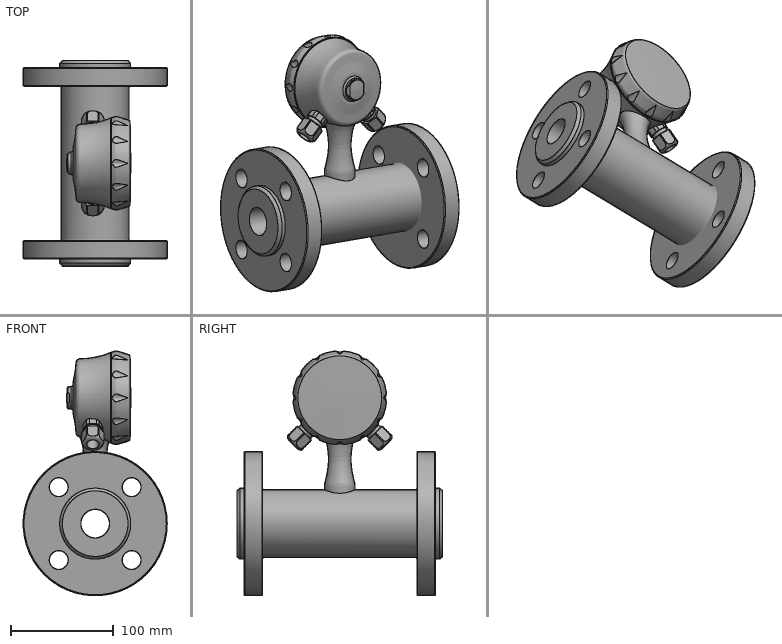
import cadquery as cq
import math

flange_dia = 140.0
flange_thickness = 18.3
flange_edge_chamfer = 1.0
overall_length = 200.0
raised_face_dia = 69.0
raised_face_height = 7.0
raised_face_bevel_radial = 2.5
raised_face_bevel_axial = 3.0
pipe_dia = 66.0
pipe_end_fillet = 0.7
bore_dia = 27.5
bolt_circle_dia = 100.0
bolt_hole_dia = 18.0
bolt_count = 4

neck_foot_dia = 30.0
neck_foot_top = 36.4
neck_shoulder_dia = 29.2
neck_shoulder_top = 39.2
neck_taper_dia = 26.9
neck_taper_top = 44.0
neck_waist_dia = 22.0
neck_waist_bottom = 60.0
neck_waist_top = 64.5
neck_collar_dia = 23.5
neck_collar_top = 72.0
neck_top_dia = 32.3
neck_top = 86.5

head_height = 122.2
cap_radius = 45.7
cap_back_dia = 81.3
cap_seam_x = 15.7
cap_seam_radius = 44.2
cap_crest_start_x = 18.5
cap_crest_start_radius = 45.2
cap_crest_x = 20.2
cap_crest_end_x = 21.9
cap_crest_end_radius = 45.5
cap_taper_end_x = 31.6
cap_taper_end_radius = 42.3
cap_back_x = 34.0
cap_crown_x = 34.7
seam_width = 0.7
seam_depth = 0.5
shell_front_x = -18.8
shell_radius = 38.0
shell_back_radius = 44.0
shell_edge_fillet = 4.5
front_cone_x = -19.5
front_cone_radius = 26.0

notch_count = 12
notch_tip_x = 31.5
notch_tip_radius = 42.3
notch_half_angle = 27
notch_tilt = 36
notch_length = 19.0

plug_dia = 21.6
plug_front_x = -27.0
plug_chamfer = 1.0
plug_tip_x = -28.0
plug_skirt_x = -23.3
plug_skirt_radius = 12.5
plug_base_x = -21.5
plug_base_radius = 16.0
plug_flat_front = 8.5
plug_flat_back = 10.5
plug_flat_back_x = -24.7

gland_x = -2.25
gland_angle = 45
gland_root = 31.0
gland_base_flats = 18.0
gland_base_dia = 19.3
gland_base_end = 44.5
gland_collar_dia = 16.0
gland_collar_end = 48.5
gland_nut_flats = 19.5
gland_nut_dia = 21.9
gland_nut_end = 64.0
gland_nut_fillet = 4.8
gland_hole_dia = 12.0
gland_hole_depth = 12.0


def make_flow_tube():
    """Pipe with a raised-face flange, turned about Y, at each end."""
    half_length = overall_length / 2
    flange_outer = half_length - raised_face_height
    flange_inner = flange_outer - flange_thickness
    pipe_radius = pipe_dia / 2
    flange_radius = flange_dia / 2
    face_radius = raised_face_dia / 2
    chamfer = flange_edge_chamfer
    pipe = cq.Workplane("XZ").circle(pipe_radius).extrude(flange_outer, both=True)
    flange = (
        cq.Workplane("XY")
        .moveTo(0, flange_inner - pipe_end_fillet)
        .lineTo(pipe_radius, flange_inner - pipe_end_fillet)
        .radiusArc((pipe_radius + pipe_end_fillet, flange_inner), pipe_end_fillet)
        .lineTo(flange_radius - chamfer, flange_inner)
        .lineTo(flange_radius, flange_inner + chamfer)
        .lineTo(flange_radius, flange_outer - chamfer)
        .lineTo(flange_radius - chamfer, flange_outer)
        .lineTo(face_radius, flange_outer)
        .lineTo(face_radius, half_length - raised_face_bevel_axial)
        .lineTo(face_radius - raised_face_bevel_radial, half_length)
        .lineTo(0, half_length)
        .close()
        .revolve(360, (0, 0, 0), (0, 1, 0))
    )
    return pipe.union(flange).union(flange.mirror("XZ"))


def cut_flow_holes(body):
    """Cut the bore and the bolt holes; the bolt holes stop at the inner flange faces."""
    end_plane = cq.Workplane("XZ", origin=(0, overall_length / 2, 0))
    bore = end_plane.circle(bore_dia / 2).extrude(overall_length)
    bolt_holes = (
        end_plane.polarArray(bolt_circle_dia / 2, 360 / bolt_count / 2, 360, bolt_count)
        .circle(bolt_hole_dia / 2)
        .extrude(raised_face_height + flange_thickness)
    )
    return body.cut(bore).cut(bolt_holes).cut(bolt_holes.mirror("XZ"))


def make_neck():
    """Waisted neck turned about Z; its foot starts inside the pipe, clear of the bore."""
    foot_bottom = (bore_dia + pipe_dia) / 4
    return (
        cq.Workplane("XZ")
        .moveTo(0, foot_bottom)
        .lineTo(neck_foot_dia / 2, foot_bottom)
        .lineTo(neck_foot_dia / 2, neck_foot_top)
        .lineTo(neck_shoulder_dia / 2, neck_shoulder_top)
        .lineTo(neck_taper_dia / 2, neck_taper_top)
        .tangentArcPoint((neck_waist_dia / 2, neck_waist_bottom), relative=False)
        .lineTo(neck_waist_dia / 2, neck_waist_top)
        .lineTo(neck_collar_dia / 2, neck_collar_top)
        .tangentArcPoint((neck_top_dia / 2, neck_top), relative=False)
        .lineTo(neck_top_dia / 2, head_height - shell_radius / 2)
        .lineTo(0, head_height - shell_radius / 2)
        .close()
        .revolve(360, (0, 0, 0), (0, 1, 0))
    )


def make_head():
    """Housing and cap, drawn as X against radius and turned about the head axis."""
    plug_radius = plug_dia / 2
    seam_start_x = cap_seam_x - seam_width
    seam_floor_radius = shell_back_radius - seam_depth
    fillet_end_x = shell_front_x + shell_edge_fillet
    fillet_mid = shell_edge_fillet * (1 - math.sqrt(0.5))
    return (
        cq.Workplane("XZ", origin=(0, 0, head_height))
        .moveTo(plug_tip_x, 0)
        .lineTo(plug_front_x, plug_radius - plug_chamfer)
        .lineTo(plug_front_x + plug_chamfer, plug_radius)
        .lineTo(plug_skirt_x, plug_radius)
        .lineTo(plug_base_x, plug_skirt_radius)
        .lineTo(plug_base_x, plug_base_radius)
        .lineTo(front_cone_x, front_cone_radius)
        .lineTo(shell_front_x, shell_radius - shell_edge_fillet)
        .threePointArc(
            (shell_front_x + fillet_mid, shell_radius - fillet_mid),
            (fillet_end_x, shell_radius),
        )
        .tangentArcPoint((seam_start_x, shell_back_radius), relative=False)
        .lineTo(seam_start_x, seam_floor_radius)
        .lineTo(cap_seam_x, seam_floor_radius)
        .lineTo(cap_seam_x, cap_seam_radius)
        .lineTo(cap_crest_start_x, cap_crest_start_radius)
        .threePointArc((cap_crest_x, cap_radius), (cap_crest_end_x, cap_crest_end_radius))
        .lineTo(cap_taper_end_x, cap_taper_end_radius)
        .tangentArcPoint((cap_back_x, cap_back_dia / 2), relative=False)
        .lineTo(cap_crown_x, 0)
        .close()
        .revolve(360, (0, 0, 0), (1, 0, 0))
    )


def make_plug_flat():
    """Wedge that slopes off the +Y side of the plug."""
    front_x = plug_tip_x
    slope = (plug_flat_back - plug_flat_front) / (plug_flat_back_x - plug_front_x)
    front_y = plug_flat_front - slope * (plug_front_x - front_x)
    return (
        cq.Workplane("XY", origin=(0, 0, head_height - plug_dia / 2))
        .moveTo(front_x, front_y)
        .lineTo(plug_flat_back_x, plug_flat_back)
        .lineTo(plug_flat_back_x, plug_dia)
        .lineTo(front_x, plug_dia)
        .close()
        .extrude(plug_dia)
    )


def make_notch():
    """Cone at the top of the cap; its tip lies on the taper and its axis rises toward -X."""
    end_radius = notch_length * math.tan(math.radians(notch_half_angle))
    cone = cq.Solid.makeCone(0, end_radius, notch_length, dir=cq.Vector(-1, 0, 0))
    return cq.Workplane(cone).rotate((0, 0, 0), (0, 1, 0), notch_tilt).translate(
        (notch_tip_x, 0, head_height + notch_tip_radius)
    )


def cut_notches(head):
    """Cut the notches evenly around the cap."""
    axis_start = (0, 0, head_height)
    axis_end = (1, 0, head_height)
    notch = make_notch()
    for i in range(notch_count):
        head = head.cut(notch.rotate(axis_start, axis_end, i * 360 / notch_count))
    return head


def rounded_hex(flats, round_dia, start, end, end_fillet=0):
    """Hexagon bar along Z with its corners turned to a diameter and its top end rounded."""
    plane = cq.Workplane("XY", origin=(0, 0, start))
    bar = plane.polygon(6, flats / math.cos(math.pi / 6)).extrude(end - start)
    envelope = plane.circle(round_dia / 2).extrude(end - start)
    if end_fillet > 0:
        envelope = envelope.faces(">Z").edges().fillet(end_fillet)
    return bar.intersect(envelope)


def make_gland():
    """Gland pointing straight up from the origin: hex base, round collar, holed nut."""
    base = rounded_hex(gland_base_flats, gland_base_dia, gland_root, gland_base_end)
    collar = (
        cq.Workplane("XY", origin=(0, 0, gland_root))
        .circle(gland_collar_dia / 2)
        .extrude(gland_collar_end - gland_root)
    )
    nut = rounded_hex(
        gland_nut_flats, gland_nut_dia, gland_collar_end, gland_nut_end, gland_nut_fillet
    )
    hole = (
        cq.Workplane("XY", origin=(0, 0, gland_nut_end - gland_hole_depth))
        .circle(gland_hole_dia / 2)
        .extrude(gland_hole_depth)
    )
    return base.union(collar).union(nut).cut(hole)


def place_gland(side):
    """Turn the gland to point down and to one side, and move it onto the head."""
    turn = side * (180 - gland_angle)
    return make_gland().rotate((0, 0, 0), (1, 0, 0), turn).translate((gland_x, 0, head_height))


plug_flat = make_plug_flat()
head = cut_notches(make_head()).cut(plug_flat).cut(plug_flat.mirror("XZ"))

result = make_flow_tube().union(make_neck()).union(head)
for side in (-1, 1):
    result = result.union(place_gland(side))
result = cut_flow_holes(result)